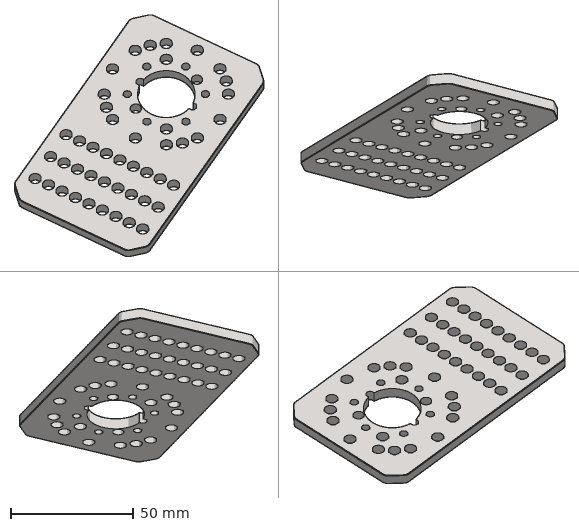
import cadquery as cq
import math

length = 108.0
grid = length / 17
width = 10 * grid
thickness = 4.7
corner_cut = grid
corner_radius = grid / 2
edge_chamfer = 0.26

opening_y = length / 2 - 5 * grid
main_hole = 5.0
ring_radius = 4 * grid
quadrant_starts = (0, 90, 180, 270)
ring_angles = (0, 30, 45, 60)

bore = 23.5
slot_length = 28.2
slot_width = 3.3

small_hole = slot_width
small_hole_count = 6
small_ring_radius = 16.0
small_start_angle = 90

diagonal_angle = 60
opposite_turns = (0, 180)
near_hole = 4.5
near_pair_radius = 14.5
far_pair_radius = 17.5

row_count = 3
holes_per_row = 9
row_pitch = 2 * grid
first_row_y = opening_y - 6 * grid


def polar(radius, angle):
    """Point at a radius and angle (degrees) about the central opening."""
    turn = math.radians(angle)
    return (radius * math.cos(turn), opening_y + radius * math.sin(turn))


def cylinders(points, diameter):
    """Full-height cutting cylinders at the given points."""
    return cq.Workplane("XY").pushPoints(points).circle(diameter / 2).extrude(thickness)


def make_plate():
    """Plate with rounded 45-degree corners and chamfered top and bottom edges."""
    plate = cq.Workplane("XY").rect(width, length).extrude(thickness)
    plate = plate.edges("|Z").chamfer(corner_cut)
    plate = plate.edges("|Z").fillet(corner_radius)
    return plate.faces("<Z or >Z").chamfer(edge_chamfer)


def make_opening():
    """Cutter for the central bore joined with its cross slot."""
    slot = cq.Workplane("XY").center(0, opening_y).slot2D(slot_length, slot_width).extrude(thickness)
    return cylinders([(0, opening_y)], bore).union(slot)


ring_points = [
    polar(ring_radius, start + angle)
    for start in quadrant_starts
    for angle in ring_angles
]

small_step = 360 / small_hole_count
small_points = [
    polar(small_ring_radius, small_start_angle + i * small_step)
    for i in range(small_hole_count)
]

near_points = [polar(near_pair_radius, diagonal_angle + turn) for turn in opposite_turns]
far_points = [polar(far_pair_radius, -diagonal_angle + turn) for turn in opposite_turns]

row_points = [
    ((column - (holes_per_row - 1) / 2) * grid, first_row_y - row * row_pitch)
    for row in range(row_count)
    for column in range(holes_per_row)
]

result = (
    make_plate()
    .cut(make_opening())
    .cut(cylinders(ring_points + far_points + row_points, main_hole))
    .cut(cylinders(small_points, small_hole))
    .cut(cylinders(near_points, near_hole))
)